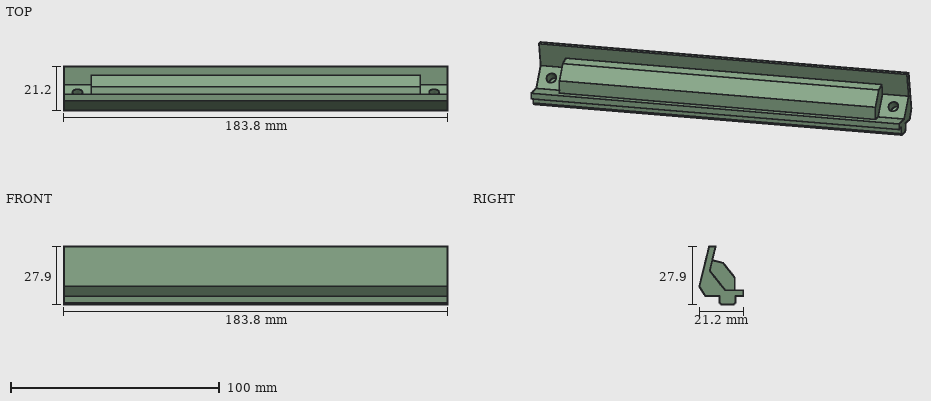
import cadquery as cq
import math


length = 183.82
depth = 21.15
height = 27.87

foot_rear = 3.7
foot_width = 7.8
foot_height = 4.1
foot_chamfer = 1.0
flange_thickness = 2.8
flange_top = foot_height + flange_thickness

wall_lean = math.radians(13.8)
wall_top_width = 3.2
wall_corner_height = 8.7
front_chamfer_width = 2.9

ramp_angle = math.radians(51.5)
ramp_start = 8.7

end_margin = 13.0
block_rear = 4.1
block_rear_top = 13.0
block_crest = 9.7

hole_diameter = 4.8
hole_depth = 6.0
hole_offset = length / 2 - end_margin / 2

lean_slope = math.tan(wall_lean)
ramp_slope = math.tan(ramp_angle)
wall_outer_top = depth - (height - wall_corner_height) * lean_slope
wall_inner_top = wall_outer_top - wall_top_width


def wall_inner_at(level):
    """Forward distance of the wall's rear face at a height."""
    return wall_inner_top + (height - level) * lean_slope


ramp_rise = (wall_inner_at(flange_top) - ramp_start) / (1 / ramp_slope + lean_slope)
ramp_bottom = (ramp_start, flange_top)
ramp_top = (ramp_start + ramp_rise / ramp_slope, flange_top + ramp_rise)
ramp_middle = ((ramp_bottom[0] + ramp_top[0]) / 2, (ramp_bottom[1] + ramp_top[1]) / 2)


def extrude_profile(points, span):
    """Extrude (forward, height) points along X, centred on X = 0."""
    outline = [(-forward, level) for forward, level in points]
    return cq.Workplane("YZ").polyline(outline).close().extrude(span / 2, both=True)


def make_rail():
    """Full-length rail: foot, flange, ramp and leaning wall."""
    foot_front = foot_rear + foot_width
    points = [
        (0, flange_top),
        (0, foot_height),
        (foot_rear, foot_height),
        (foot_rear, foot_chamfer),
        (foot_rear + foot_chamfer, 0),
        (foot_front - foot_chamfer, 0),
        (foot_front, foot_chamfer),
        (foot_front, foot_height),
        (depth - front_chamfer_width, foot_height),
        (depth, wall_corner_height),
        (wall_outer_top, height),
        (wall_inner_top, height),
        ramp_top,
        ramp_bottom,
    ]
    return extrude_profile(points, length)


def make_block():
    """Filler block whose sloped back is parallel to the ramp and whose top is square to the wall."""
    crest_height = block_rear_top + (block_crest - block_rear) * ramp_slope
    top_run = (wall_inner_at(crest_height) - block_crest) / (1 + lean_slope**2)
    points = [
        (block_rear, flange_top),
        (block_rear, block_rear_top),
        (block_crest, crest_height),
        (block_crest + top_run, crest_height + top_run * lean_slope),
        ramp_top,
        ramp_bottom,
    ]
    return extrude_profile(points, length - 2 * end_margin)


def make_hole(x):
    """Cylinder sunk into the ramp along its inward normal."""
    centre = cq.Vector(x, -ramp_middle[0], ramp_middle[1])
    inward = cq.Vector(0, -math.sin(ramp_angle), -math.cos(ramp_angle))
    return cq.Solid.makeCylinder(hole_diameter / 2, hole_depth, centre, inward)


result = make_rail().union(make_block())
for side in (-1, 1):
    result = result.cut(make_hole(side * hole_offset))